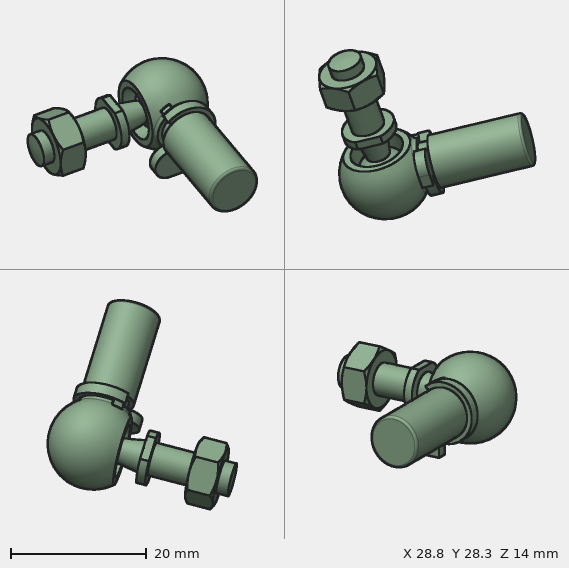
import cadquery as cq
import math

head_radius = 6.8
head_flat = 4.44
mouth_radius = 4.03
shank_radius = 4.0
shank_end = 28.8 - head_radius
shank_edge = 0.4
neck_fillet = 0.8

ball_radius = 4.0
stud_radius = 2.5
stud_length = 21.5
tip_height = 0.25
stud_neck_radius = 1.18
collar_start = 7.65
collar_thickness = 1.35
collar_radius = 4.0
collar_across_flats = 7.03

nut_start = 15.24
nut_thickness = 4.25
nut_across_flats = 8.8
nut_face_radius = 4.38
nut_chamfer_angle = 30

clip_start = 5.95
clip_width = 1.7
clip_inner_radius = 3.25
clip_outer_radius = 4.8
clip_end_angle = 41
clip_tab_angle = -222
catch_start = 4.95
catch_radius = 4.72
catch_angles = (18.5, 39)
tab_radius = 2.48
tab_centre_y = -2.85
tab_side_y = -0.8
tab_bottom_z = -7.2


def make_socket():
    """Revolve the head, fillet and shank, then cut the flat, mouth and clip groove."""
    centre_distance = head_radius + neck_fillet
    fillet_axis_radius = shank_radius + neck_fillet
    fillet_x = math.sqrt(centre_distance**2 - fillet_axis_radius**2)
    to_head = head_radius / centre_distance
    head_tangent = (fillet_x * to_head, fillet_axis_radius * to_head)
    head_angle = math.atan2(fillet_axis_radius, fillet_x)
    middle_angle = (head_angle + math.pi / 2) / 2
    fillet_middle = (
        fillet_x - neck_fillet * math.cos(middle_angle),
        fillet_axis_radius - neck_fillet * math.sin(middle_angle),
    )
    body = (
        cq.Workplane("XY")
        .moveTo(-head_radius, 0)
        .threePointArc((0, head_radius), head_tangent)
        .threePointArc(fillet_middle, (fillet_x, shank_radius))
        .lineTo(shank_end, shank_radius)
        .lineTo(shank_end, 0)
        .close()
        .revolve(360, (0, 0, 0), (1, 0, 0))
        .faces(">X")
        .edges()
        .fillet(shank_edge)
    )
    beyond_flat = (
        cq.Workplane("XZ", origin=(0, -head_flat, 0))
        .rect(2 * head_radius, 2 * head_radius)
        .extrude(head_radius)
    )
    mouth = cq.Workplane("XZ").circle(mouth_radius).extrude(head_flat)
    groove = (
        cq.Workplane("YZ", origin=(clip_start, 0, 0))
        .circle(clip_outer_radius)
        .circle(clip_inner_radius)
        .extrude(clip_width)
    )
    return body.cut(beyond_flat).cut(mouth).cut(groove)


def make_stud():
    """Ball, conical neck, threaded stem with a conical tip, and flatted collar."""
    stem = (
        cq.Workplane("XY")
        .lineTo(stud_neck_radius, 0)
        .lineTo(stud_radius, -collar_start)
        .lineTo(stud_radius, tip_height - stud_length)
        .lineTo(0, -stud_length)
        .close()
        .revolve(360, (0, 0, 0), (0, 1, 0))
    )
    collar_plane = cq.Workplane("XZ", origin=(0, -collar_start, 0))
    collar = collar_plane.circle(collar_radius).extrude(collar_thickness)
    flats = collar_plane.rect(2 * collar_radius, collar_across_flats).extrude(collar_thickness)
    ball = cq.Workplane("XY").sphere(ball_radius)
    return ball.union(stem).union(collar.intersect(flats))


def make_nut():
    """Hexagon with corners along Z, turned conically at both faces."""
    corner_radius = nut_across_flats / math.sqrt(3)
    chamfer_height = (corner_radius - nut_face_radius) * math.tan(math.radians(nut_chamfer_angle))
    nut_end = nut_start + nut_thickness
    corner_turn = 30
    hexagon = (
        cq.Workplane("XZ", origin=(0, -nut_start, 0))
        .polygon(6, 2 * corner_radius)
        .extrude(nut_thickness)
        .rotate((0, 0, 0), (0, 1, 0), corner_turn)
    )
    turned_blank = (
        cq.Workplane("XY")
        .moveTo(0, -nut_start)
        .lineTo(nut_face_radius, -nut_start)
        .lineTo(corner_radius, -nut_start - chamfer_height)
        .lineTo(corner_radius, chamfer_height - nut_end)
        .lineTo(nut_face_radius, -nut_end)
        .lineTo(0, -nut_end)
        .close()
        .revolve(360, (0, 0, 0), (0, 1, 0))
    )
    return hexagon.intersect(turned_blank)


def ring_sector(start_x, width, outer_radius, first_angle, last_angle):
    """Part of a ring around the shank, between two angles from +Z towards -Y."""

    def point(radius, angle):
        turn = math.radians(angle)
        return (-radius * math.sin(turn), radius * math.cos(turn))

    middle_angle = (first_angle + last_angle) / 2
    return (
        cq.Workplane("YZ", origin=(start_x, 0, 0))
        .moveTo(*point(clip_inner_radius, first_angle))
        .lineTo(*point(outer_radius, first_angle))
        .threePointArc(point(outer_radius, middle_angle), point(outer_radius, last_angle))
        .lineTo(*point(clip_inner_radius, last_angle))
        .threePointArc(point(clip_inner_radius, middle_angle), point(clip_inner_radius, first_angle))
        .close()
        .extrude(width)
    )


def make_clip():
    """Open ring in the groove, with a small catch and a rounded finger tab."""
    ring = ring_sector(clip_start, clip_width, clip_outer_radius, clip_tab_angle, clip_end_angle)
    catch = ring_sector(catch_start, clip_start - catch_start, catch_radius, *catch_angles)
    tab_centre_z = tab_bottom_z + tab_radius
    tab = (
        cq.Workplane("YZ", origin=(clip_start, 0, 0))
        .moveTo(tab_side_y, tab_bottom_z)
        .lineTo(tab_centre_y, tab_bottom_z)
        .threePointArc(
            (tab_centre_y - tab_radius, tab_centre_z), (tab_centre_y, tab_centre_z + tab_radius)
        )
        .lineTo(tab_side_y, tab_centre_z + tab_radius)
        .close()
        .extrude(clip_width)
    )
    return ring.union(tab).union(catch)


result = make_socket().union(make_clip()).union(make_stud()).union(make_nut())